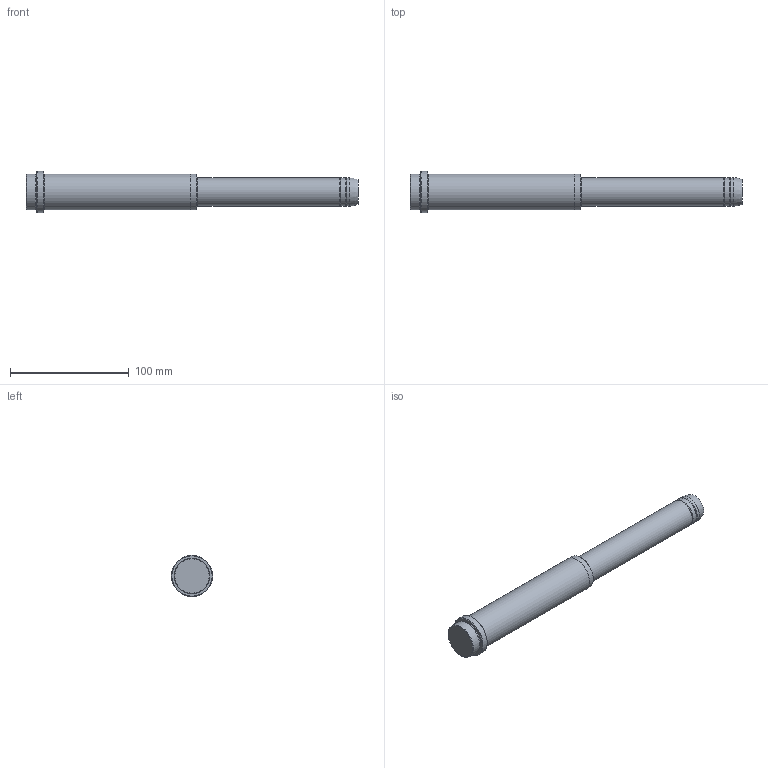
import cadquery as cq

total_length = 280.0
head_length = 9.0
collar_width = 6.0
shoulder_end = 144.0
end_section_length = 5.0
tip_length = 7.0

body_diameter = 30.0
collar_diameter = 35.0
pin_diameter = 24.0
tip_diameter = 20.8

head_chamfer = 0.5
collar_chamfer = 0.5
shoulder_chamfer = 0.5

groove_width = 1.0
oil_groove_depth = groove_width / 2
relief_depth = 0.2
oil_groove_centres = (265.0, 270.0)

body_radius = body_diameter / 2
collar_radius = collar_diameter / 2
pin_radius = pin_diameter / 2
tip_radius = tip_diameter / 2
half_groove = groove_width / 2
collar_end = head_length + collar_width
end_section_start = shoulder_end - end_section_length
tip_start = total_length - tip_length


def add_groove(profile, centre, surface_radius, depth):
    """Round-bottomed groove sunk into a cylinder; the profile already stands at its near edge."""
    bottom = (centre, surface_radius - depth)
    return profile.threePointArc(bottom, (centre + half_groove, surface_radius))


def add_head(profile):
    """Chamfered head with a relief in front of the collar."""
    profile = (
        profile.lineTo(0, body_radius - head_chamfer)
        .lineTo(head_chamfer, body_radius)
        .lineTo(head_length - groove_width, body_radius)
    )
    return add_groove(profile, head_length - half_groove, body_radius, relief_depth)


def add_collar(profile):
    """Collar with chamfered edges."""
    return (
        profile.lineTo(head_length, collar_radius - collar_chamfer)
        .lineTo(head_length + collar_chamfer, collar_radius)
        .lineTo(collar_end - collar_chamfer, collar_radius)
        .lineTo(collar_end, collar_radius - collar_chamfer)
        .lineTo(collar_end, body_radius)
    )


def add_body(profile):
    """Body with a relief behind the collar, its end section and the chamfered step down to the pin."""
    return (
        add_groove(profile, collar_end + half_groove, body_radius, relief_depth)
        .lineTo(end_section_start, body_radius)
        .lineTo(shoulder_end - shoulder_chamfer, body_radius)
        .lineTo(shoulder_end, body_radius - shoulder_chamfer)
        .lineTo(shoulder_end, pin_radius)
    )


def add_pin(profile):
    """Pin with a relief at the shoulder and oil grooves, ending in a rounded tip tangent to the pin."""
    profile = add_groove(profile, shoulder_end + half_groove, pin_radius, relief_depth)
    for centre in oil_groove_centres:
        profile = profile.lineTo(centre - half_groove, pin_radius)
        profile = add_groove(profile, centre, pin_radius, oil_groove_depth)
    return (
        profile.lineTo(tip_start, pin_radius)
        .tangentArcPoint((total_length, tip_radius), relative=False)
        .lineTo(total_length, 0)
    )


profile = cq.Workplane("XY").moveTo(0, 0)
for add_section in (add_head, add_collar, add_body, add_pin):
    profile = add_section(profile)

result = profile.close().revolve(360, (0, 0, 0), (1, 0, 0), clean=False)